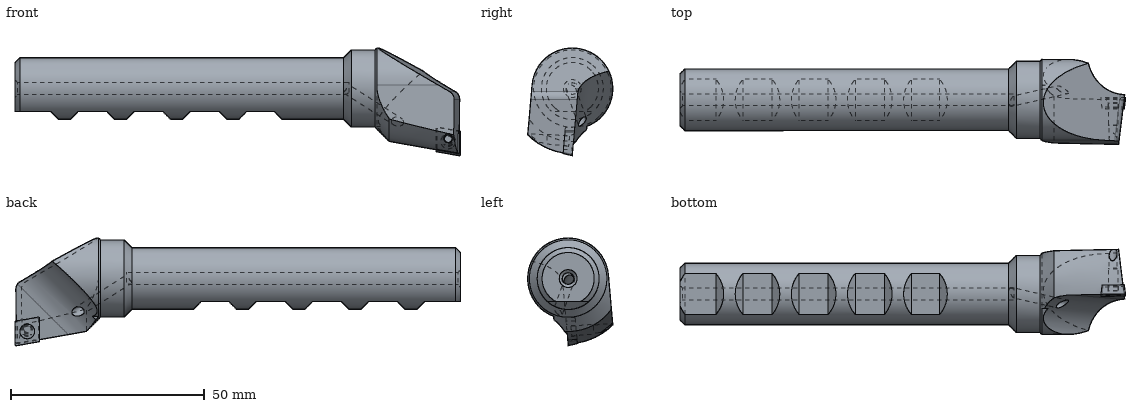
import cadquery as cq
import math


shank_radius = 16.0 / 2
shank_chamfer = 1.3
flat_depth = 6.0
rib_pitch = 14.5
rib_count = 4
rib_length = 3.0
first_rib_x = 12.8
last_rib_start = 69.0
flat_end_margin = 5.8

coolant_radius = 3.0 / 2
coolant_mouth_radius = 2.3
coolant_mouth_depth = 0.7
coolant_end_x = 86.2
outlet_radius = 2.5 / 2
outlet_overlap = 0.9
outlet_shift = -0.5
outlet_direction = cq.Vector(11.0, 2.5, -7.0)
outlet_length = 20.7

collar_radius = 20.0 / 2
collar_start = 86.8
collar_end = 92.9

head_radius = 10.5
flare_radius = 13.7
cone_angle = 10.0
lobe_edge = 4.6
head_tilt = -5.0
end_angle = 7.0
end_x = 114.7
top_slope = 30.0
top_start = 93.8
nose_fillet = 2.3
reach = 138.0

rake_y = 1.5
pocket_radius = 11.7
pocket_angle = 45.0
pocket_offset = 81.8

insert_edge = 6.4
insert_corner = 80.0
insert_thickness = 2.4
insert_relief = 7.0
insert_nose = 0.3
tip_x = 115.0
tip_z = -17.4

screw_head_radius = 3.8 / 2
screw_radius = 2.5 / 2
insert_bore_radius = 2.8 / 2
screw_head_depth = 1.2
screw_length = 6.9
tap_exit_radius = 2.1 / 2

flare_start = collar_end
flare_end = flare_start + flare_radius - collar_radius
edge_rise = math.radians(90 - insert_corner)
insert_centre_x = tip_x - insert_edge * math.cos(edge_rise) / 2
insert_centre_z = tip_z + insert_edge * (1 + math.sin(edge_rise)) / 2


def tilt(body):
    """Turn a body from the tilted frame of the cutting end into its place."""
    return body.rotate((0, 0, 0), (1, 0, 0), head_tilt)


def make_shank():
    """Round shank with its collar, as one turned profile."""
    step = collar_radius - shank_radius
    return (
        cq.Workplane("XZ")
        .moveTo(0, 0)
        .lineTo(0, shank_radius - shank_chamfer)
        .lineTo(shank_chamfer, shank_radius)
        .lineTo(collar_start - step, shank_radius)
        .lineTo(collar_start, collar_radius)
        .lineTo(collar_end, collar_radius)
        .lineTo(collar_end, 0)
        .close()
        .revolve(360, (0, 0, 0), (1, 0, 0))
    )


def flat_cutter(start, end):
    """Cutter for one flat: from crest to crest, start to end, with 45 degree flanks."""
    rise = shank_radius - flat_depth
    return (
        cq.Workplane("XZ")
        .polyline([
            (start, -shank_radius),
            (start + rise, -flat_depth),
            (end - rise, -flat_depth),
            (end, -shank_radius),
        ])
        .close()
        .extrude(shank_radius, both=True)
    )


def cut_flats(body):
    """Mill the flats that leave the ribs standing under the shank."""
    start = -flat_end_margin
    for number in range(rib_count):
        rib_x = first_rib_x + number * rib_pitch
        body = body.cut(flat_cutter(start, rib_x - rib_length / 2))
        start = rib_x + rib_length / 2
    return body.cut(flat_cutter(start, last_rib_start))


def make_head():
    """Flared cone limited by a cylinder above and a lobe below, before pocket and end cuts."""
    cone_end_radius = flare_radius + (reach - flare_end) * math.tan(math.radians(cone_angle))
    cone = (
        cq.Workplane("XZ")
        .polyline([
            (flare_start, 0),
            (flare_start, collar_radius),
            (flare_end, flare_radius),
            (reach, cone_end_radius),
            (reach, 0),
        ])
        .close()
        .revolve(360, (0, 0, 0), (1, 0, 0))
    )
    cylinder = cq.Workplane("YZ").circle(head_radius).extrude(reach)
    lobe = (
        cq.Workplane("YZ")
        .polyline([
            (-head_radius, 0),
            (lobe_edge, 0),
            (lobe_edge, -cone_end_radius),
            (-head_radius, -cone_end_radius),
        ])
        .close()
        .extrude(reach)
    )
    return cone.intersect(cylinder.union(tilt(lobe)))


def end_envelope():
    """Space behind the end face and below the sloping top plane, rounded between them."""
    slope = math.tan(math.radians(top_slope))
    turn = math.radians(end_angle)
    top_z = head_radius + top_start * math.cos(turn) * slope
    face_x = end_x * math.cos(turn)
    corner_z = top_z - face_x * slope
    return (
        cq.Workplane("XZ")
        .polyline([(0, top_z), (face_x, corner_z), (face_x, -reach), (0, -reach)])
        .close()
        .extrude(reach, both=True)
        .edges(cq.selectors.NearestToPointSelector((face_x, 0, corner_z)))
        .fillet(nose_fillet)
        .rotate((0, 0, 0), (0, 0, 1), -end_angle)
    )


def chip_pocket():
    """Cutter with a flat floor and a round wall, running diagonally across the head."""
    run = math.radians(pocket_angle)
    plane = cq.Plane(
        origin=(0, rake_y, 0),
        xDir=(math.sin(run), 0, -math.cos(run)),
        normal=(math.cos(run), 0, math.sin(run)),
    )
    wall = pocket_offset - pocket_radius
    bend = pocket_radius * math.sqrt(0.5)
    profile = (
        cq.Workplane(plane)
        .moveTo(reach, 0)
        .lineTo(pocket_offset, 0)
        .threePointArc((pocket_offset - bend, pocket_radius - bend), (wall, pocket_radius))
        .lineTo(wall, 2 * pocket_radius)
        .lineTo(reach, 2 * pocket_radius)
        .close()
    )
    return tilt(profile.extrude(reach, both=True))


def coolant_passage():
    """Axial bore with a conical mouth, and an angled outlet into the chip pocket."""
    bore = (
        cq.Workplane("XZ")
        .polyline([
            (0, 0),
            (0, coolant_mouth_radius),
            (coolant_mouth_depth, coolant_radius),
            (coolant_end_x, coolant_radius),
            (coolant_end_x, 0),
        ])
        .close()
        .revolve(360, (0, 0, 0), (1, 0, 0))
    )
    outlet_start = cq.Vector(coolant_end_x - outlet_overlap, outlet_shift, 0)
    outlet = cq.Solid.makeCylinder(outlet_radius, outlet_length, outlet_start, outlet_direction)
    return bore.union(cq.Workplane(outlet))


def screw_axis():
    """Workplane on the rake face at the insert centre, with its normal into the head."""
    return cq.Workplane("XZ", origin=(insert_centre_x, rake_y, insert_centre_z))


def countersunk_pin(radius, length):
    """Round pin with the conical screw head at the rake face."""
    profile = (
        cq.Workplane("XY")
        .polyline([
            (0, 0),
            (screw_head_radius, 0),
            (insert_bore_radius, -screw_head_depth),
            (radius, -screw_head_depth),
            (radius, -length),
            (0, -length),
        ])
        .close()
        .revolve(360, (0, 0, 0), (0, 1, 0))
    )
    return profile.translate((insert_centre_x, rake_y, insert_centre_z))


def insert_blank():
    """Rhombic insert with relief on all sides, without its bore."""
    shift_x = insert_edge * math.cos(edge_rise)
    shift_z = insert_edge * math.sin(edge_rise)
    return (
        cq.Workplane("XZ", origin=(tip_x, rake_y, tip_z))
        .polyline([
            (0, 0),
            (0, insert_edge),
            (-shift_x, insert_edge + shift_z),
            (-shift_x, shift_z),
        ])
        .close()
        .extrude(insert_thickness, taper=insert_relief)
        .edges("not(#Y)")
        .fillet(insert_nose)
    )


def make_screw():
    """Countersunk clamping screw, flush with the rake face."""
    return tilt(countersunk_pin(screw_radius, screw_length))


def make_insert():
    """Cutting insert with a countersunk bore for the screw."""
    bore = screw_axis().circle(insert_bore_radius).extrude(insert_thickness)
    head_seat = countersunk_pin(screw_radius, insert_thickness)
    return tilt(insert_blank().cut(bore).cut(head_seat))


def make_holder():
    """Shank, collar and head in one piece, with the insert seat and all holes."""
    head = make_head().cut(chip_pocket()).intersect(end_envelope())
    screw_hole = screw_axis().circle(screw_radius).extrude(screw_length)
    tap_exit = screw_axis().circle(tap_exit_radius).extrude(2 * head_radius)
    holder = cut_flats(make_shank()).union(head)
    holder = holder.cut(tilt(insert_blank())).cut(tilt(screw_hole)).cut(tilt(tap_exit))
    return holder.cut(coolant_passage())


holder = make_holder()
insert = make_insert()
screw = make_screw()

result = cq.Compound.makeCompound([holder.solids().val(), insert.solids().val(), screw.solids().val()])